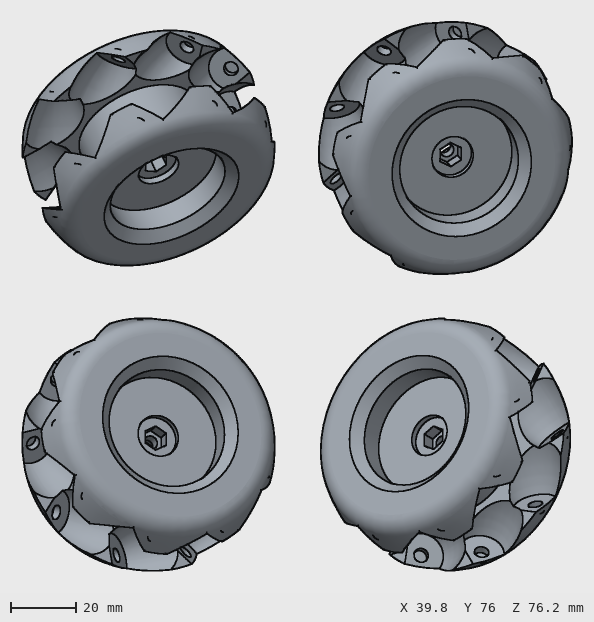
import cadquery as cq
import math

wheel_width = 39.8
disc_gap = 17.05
disc_max_radius = 38.1
face_radius = 29.6
tread_width = 7.6
tread_bulge = 0.15
shoulder_radius = 5.95

hub_radius = 19.6
recess_radius = 18.8
recess_flare = 3.3
recess_depth = 11.1
counterbore_radius = 6.55
counterbore_depth = 2.2
hex_across_flats = 6.7
hex_depth = 4.6
bore_radius = 2.1

roller_count = 9
roller_tilt = 45
roller_axis_radius = 31.2
roller_half_length = 16.7
roller_end_radius = 6.9
roller_mid_radius = 11.1
pin_radius = 2.2
pin_depth = 2.6

half_width = wheel_width / 2
half_gap = disc_gap / 2
tread_edge_x = half_gap + tread_width
recess_floor_x = recess_depth - half_width
hex_across_corners = hex_across_flats / math.cos(math.radians(30))
counterbore_floor_x = recess_floor_x + counterbore_depth
roller_pitch = 360 / roller_count

origin = (0, 0, 0)
x_axis = (1, 0, 0)
y_axis = (0, 1, 0)


def left_disc():
    """Rim disc: flat outer face, round shoulder tangent to it, and a slightly bulged tread."""
    shoulder_center_x = shoulder_radius - half_width
    shoulder_end = math.acos((tread_edge_x + shoulder_center_x) / shoulder_radius)

    def shoulder_point(angle):
        return (
            shoulder_center_x - shoulder_radius * math.cos(angle),
            face_radius + shoulder_radius * math.sin(angle),
        )

    tread_edge = shoulder_point(shoulder_end)
    tread_mid_radius = (tread_edge[1] + disc_max_radius) / 2 + tread_bulge
    return (
        cq.Workplane("XY")
        .moveTo(-half_gap, 0)
        .lineTo(-half_width, 0)
        .lineTo(-half_width, face_radius)
        .threePointArc(shoulder_point(shoulder_end / 2), tread_edge)
        .threePointArc((-(tread_edge_x + half_gap) / 2, tread_mid_radius), (-half_gap, disc_max_radius))
        .close()
        .revolve(360, origin, x_axis)
    )


def roller_space():
    """Barrel-shaped clearance for one tilted roller, with its pin holes, on the -Y side."""
    tilt = math.radians(roller_tilt)
    roller_plane = cq.Plane(
        origin=(0, -roller_axis_radius, 0),
        xDir=(math.cos(tilt), 0, -math.sin(tilt)),
        normal=(math.sin(tilt), 0, math.cos(tilt)),
    )
    barrel = (
        cq.Workplane(roller_plane)
        .moveTo(-roller_half_length, 0)
        .lineTo(-roller_half_length, roller_end_radius)
        .threePointArc((0, roller_mid_radius), (roller_half_length, roller_end_radius))
        .lineTo(roller_half_length, 0)
        .close()
        .revolve(360, origin, x_axis)
    )
    pin_length = 2 * (roller_half_length + pin_depth)
    pin = (
        cq.Workplane(roller_plane)
        .transformed(rotate=(0, 90, 0))
        .circle(pin_radius)
        .extrude(pin_length / 2, both=True)
    )
    return barrel.union(pin)


def left_recess():
    """Flared recess in the outer face, then a counterbore, then a hex socket with corners up and down."""
    stepped = (
        cq.Workplane("XY")
        .moveTo(-half_width, 0)
        .lineTo(-half_width, recess_radius + recess_flare)
        .lineTo(recess_flare - half_width, recess_radius)
        .lineTo(recess_floor_x, recess_radius)
        .lineTo(recess_floor_x, counterbore_radius)
        .lineTo(counterbore_floor_x, counterbore_radius)
        .lineTo(counterbore_floor_x, 0)
        .close()
        .revolve(360, origin, x_axis)
    )
    hex_socket = (
        cq.Workplane("YZ", origin=(counterbore_floor_x, 0, 0))
        .polygon(6, hex_across_corners)
        .extrude(hex_depth)
        .rotate(origin, x_axis, 30)
    )
    return stepped.union(hex_socket)


def on_both_sides(left_body):
    """The body together with its copy turned half way round Y."""
    return left_body.union(left_body.rotate(origin, y_axis, 180))


discs = on_both_sides(left_disc())
space = roller_space()
for i in range(roller_count):
    discs = discs.cut(space.rotate(origin, x_axis, (i + 0.5) * roller_pitch))

hub = cq.Workplane("YZ").circle(hub_radius).extrude(half_gap, both=True)
bore = cq.Workplane("YZ").circle(bore_radius).extrude(half_width, both=True)
result = discs.union(hub).cut(on_both_sides(left_recess())).cut(bore)